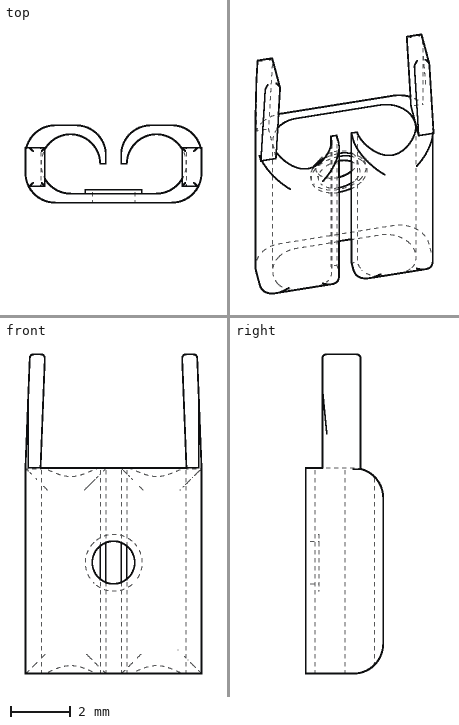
import cadquery as cq

width = 5.89
depth = 2.59
total_height = 10.67
sleeve_height = 6.87
corner_radius = 1.0
front_wall = 0.31
side_wall = 0.52
lip_gap = 0.5
hole_diameter = 1.42
collar_diameter = 1.9
collar_height = 0.13
hole_height = 3.71
tab_front = 0.55
tab_back = 1.84
tab_thickness = 0.51
tab_lean = 0.15
tab_root = 0.04
tab_edge_radius = 0.14

half_width = width / 2
mid_depth = depth / 2
bore_radius = mid_depth - front_wall
bore_offset = half_width - side_wall - bore_radius


def rounded_block(corners):
    """Full-height envelope with the selected vertical corners rounded."""
    block = cq.Workplane("XY").box(width, depth, total_height, centered=(True, False, False))
    return block.edges(corners).fillet(corner_radius)


def make_sleeve():
    """Flat front wall with both sides curled round into facing lips."""
    sleeve = cq.Workplane("XY").box(width, depth, sleeve_height, centered=(True, False, False))

    gap = (
        cq.Workplane("XY")
        .center(0, mid_depth + depth / 2)
        .rect(lip_gap, depth)
        .extrude(sleeve_height)
    )
    sleeve = sleeve.cut(gap).edges("|Z and >Y").fillet(corner_radius)
    sleeve = sleeve.intersect(rounded_block("|Z"))

    bores = (
        cq.Workplane("XY")
        .pushPoints([(-bore_offset, mid_depth), (bore_offset, mid_depth)])
        .circle(bore_radius)
        .extrude(sleeve_height)
    )
    channel = (
        cq.Workplane("XY")
        .center(0, front_wall + bore_radius / 2)
        .rect(2 * bore_offset, bore_radius)
        .extrude(sleeve_height)
    )
    sleeve = sleeve.cut(bores).cut(channel)

    side_profile = (
        cq.Workplane("XY")
        .box(width, depth, sleeve_height, centered=(True, False, False))
        .edges("|X and >Y")
        .fillet(corner_radius)
    )
    return sleeve.intersect(side_profile)


def front_cylinder(diameter, length):
    """Cylinder through the front wall, starting at the front face."""
    return (
        cq.Workplane("XZ")
        .center(0, hole_height)
        .circle(diameter / 2)
        .extrude(-length)
    )


def make_tab():
    """Inward-leaning tab standing on the left side wall."""
    outer = -half_width
    inner = outer + tab_thickness
    tab = (
        cq.Workplane("XZ", origin=(0, tab_front, 0))
        .moveTo(outer, sleeve_height - tab_root)
        .lineTo(inner, sleeve_height - tab_root)
        .lineTo(inner, sleeve_height)
        .lineTo(inner + tab_lean, total_height)
        .lineTo(outer + tab_lean, total_height)
        .lineTo(outer, sleeve_height)
        .close()
        .extrude(tab_front - tab_back)
    )
    tab = tab.faces(">Z").edges().fillet(tab_edge_radius)
    return tab.intersect(rounded_block("|Z and <Y"))


collar_length = front_wall + collar_height
left_tab = make_tab()
result = (
    make_sleeve()
    .union(front_cylinder(collar_diameter, collar_length))
    .cut(front_cylinder(hole_diameter, collar_length))
    .union(left_tab)
    .union(left_tab.mirror("YZ"))
)